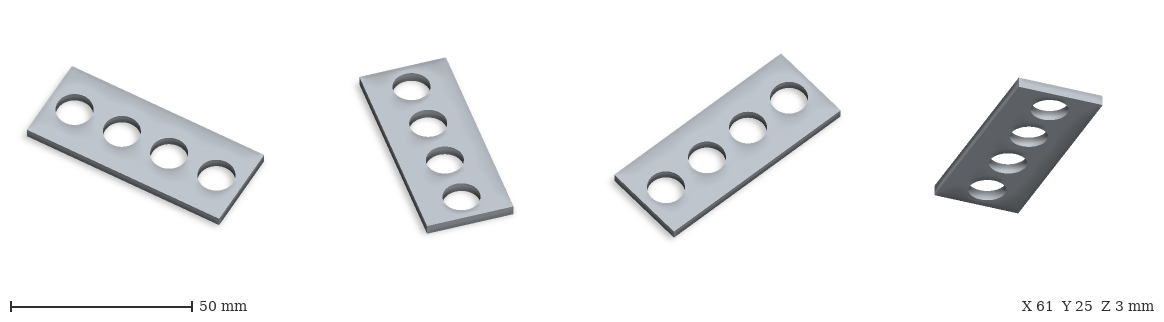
import cadquery as cq

length = 61.0
width = 25.0
thickness = 3.0

hole_count = 4
hole_diameter = 10.5
hole_pitch = 15.0

plate = cq.Workplane("XY").box(length, width, thickness)

result = (
    plate.faces(">Z")
    .workplane()
    .rarray(hole_pitch, 0.6, hole_count, 1)
    .hole(hole_diameter)
)